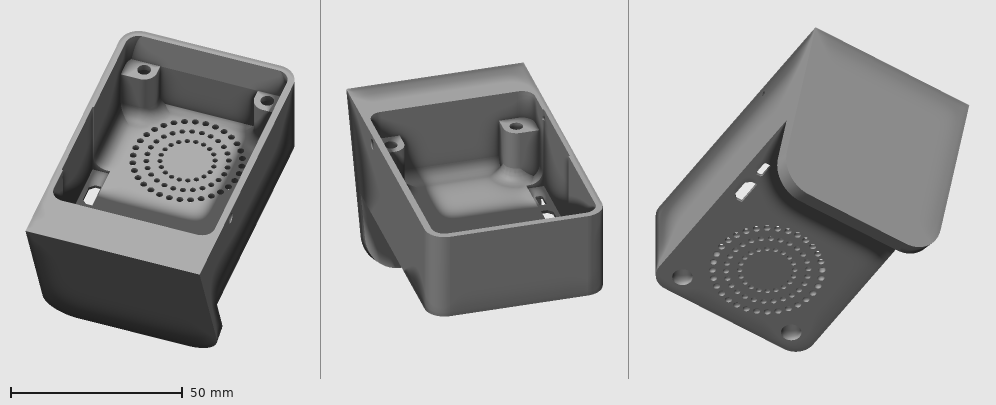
import cadquery as cq
import math


width = 53.7
length = 88.2
total_height = 50.7
box_height = 27.0
wall = 2.0
floor_thickness = 2.0
outer_corner_radius = 6.0
plate_tilt = 20.0
plate_thickness = 5.0
plate_corner_radius = 10.0

cavity_front = 15.2
cavity_back = length - wall
cavity_half_width = width / 2 - wall
cavity_corner_radius = outer_corner_radius - wall
floor_fillet = 4.0
back_wall_step = 1.5

post_spacing = 38.0
front_post_y = 19.6
back_post_y = 81.8
post_corner_radius = 4.0
post_hole_diameter = 4.0
back_counterbore_diameter = 6.0
back_post_top_thickness = 2.0
post_depth = 9.0
post_top = box_height - post_depth

grille_y = 65.8
grille_rings = [
    (16.0, 2.0, 32, 0.0),
    (12.0, 1.8, 26, 6.0),
    (8.0, 1.6, 20, 2.0),
]

recess_left = -25.2
recess_width = 5.4
recess_front = 27.1
recess_length = 27.2
recess_floor = 1.0
large_port_left = -23.8
large_port_width = 3.35
large_port_y = 44.4
large_port_length = 8.0
large_port_chamfer = 1.4
small_port_left = -23.2
small_port_width = 2.2
small_port_y = 34.7
small_port_length = 5.0
small_port_chamfer = 0.35

side_hole_y = 27.4
side_hole_depth = 2.9
side_hole_z = box_height - side_hole_depth
left_hole_diameter = 1.4
right_hole_diameter = 3.3
right_counterbore_diameter = 4.2
right_counterbore_depth = 1.2


def block(x_range, y_range, z_range):
    """Box spanning the given (low, high) ranges."""
    size = [high - low for low, high in (x_range, y_range, z_range)]
    corner = (x_range[0], y_range[0], z_range[0])
    return cq.Workplane("XY").box(*size, centered=False).translate(corner)


def outer_body():
    """Box with a slanted front that runs on below the floor as a rounded plate."""
    slope = math.tan(math.radians(plate_tilt))
    cosine = math.cos(math.radians(plate_tilt))
    sine = math.sin(math.radians(plate_tilt))
    tip = (total_height * slope, box_height - total_height)
    inner_tip = (tip[0] + plate_thickness * cosine, tip[1] + plate_thickness * sine)
    plate_back_at_floor = box_height * slope + plate_thickness / cosine
    profile = [
        (0, box_height),
        tip,
        inner_tip,
        (plate_back_at_floor, 0),
        (length, 0),
        (length, box_height),
    ]
    body = cq.Workplane("YZ").polyline(profile).close().extrude(width / 2, both=True)
    body = body.edges("|Z").edges(">Y").fillet(outer_corner_radius)
    plate_end_middle = (0, (tip[0] + inner_tip[0]) / 2, (tip[1] + inner_tip[1]) / 2)
    plate_end = body.faces(cq.selectors.NearestToPointSelector(plate_end_middle))
    return plate_end.edges("not |X").fillet(plate_corner_radius)


def post(side, post_y, toward_back, top):
    """Column in a cavity corner, with its one free vertical edge rounded."""
    post_x = side * post_spacing / 2
    free_x = post_x - side * post_corner_radius
    free_y = post_y - toward_back * post_corner_radius
    outside_x = side * width / 2
    outside_y = length if toward_back > 0 else cavity_front - wall
    column = block(sorted((free_x, outside_x)), sorted((free_y, outside_y)), (floor_thickness, top))
    free_edge = cq.selectors.NearestToPointSelector((free_x, free_y, (floor_thickness + top) / 2))
    return column.edges("|Z").edges(free_edge).fillet(post_corner_radius)


def post_flare(side, post_y):
    """Round skirt with a concave fillet that blends a front post into the floor."""
    foot_radius = post_corner_radius + floor_fillet
    arc_inset = floor_fillet * math.cos(math.radians(45))
    profile = (
        cq.Workplane("XZ")
        .lineTo(foot_radius, 0)
        .threePointArc(
            (foot_radius - arc_inset, floor_fillet - arc_inset),
            (post_corner_radius, floor_fillet),
        )
        .lineTo(0, floor_fillet)
        .close()
    )
    flare = profile.revolve(360, (0, 0, 0), (0, 1, 0))
    return flare.translate((side * post_spacing / 2, post_y, floor_thickness))


def cavity():
    """Hollow of the box: cut around the posts with a filleted floor, and open above them."""
    x_range = (-cavity_half_width, cavity_half_width)
    y_range = (cavity_front, cavity_back)
    lower = block(x_range, y_range, (floor_thickness, box_height))
    for side in (-1, 1):
        lower = lower.cut(post(side, back_post_y, 1, box_height))
    lower = lower.faces("<Z").edges().fillet(floor_fillet)
    for side in (-1, 1):
        lower = lower.cut(post(side, front_post_y, -1, box_height))
        lower = lower.cut(post_flare(side, front_post_y))
    upper = block(x_range, y_range, (post_top, box_height)).edges("|Z").fillet(cavity_corner_radius)
    return lower.union(upper)


def back_wall_thickening():
    """Lower back wall made thicker, tapering out to the rim above the posts."""
    profile = [
        (cavity_back, box_height),
        (cavity_back - back_wall_step, post_top),
        (cavity_back - back_wall_step, floor_thickness),
        (cavity_back, floor_thickness),
    ]
    return cq.Workplane("YZ").polyline(profile).close().extrude(cavity_half_width, both=True)


def post_holes():
    """Counterbored through holes in the back posts and blind holes in the front posts."""
    def bores(post_y, low, high, diameter):
        points = [(-post_spacing / 2, post_y), (post_spacing / 2, post_y)]
        plane = cq.Workplane("XY", origin=(0, 0, low)).pushPoints(points)
        return plane.circle(diameter / 2).extrude(high - low)

    through = bores(back_post_y, 0, post_top, post_hole_diameter)
    counterbore_top = post_top - back_post_top_thickness
    counterbores = bores(back_post_y, 0, counterbore_top, back_counterbore_diameter)
    blind = bores(front_post_y, floor_thickness, post_top, post_hole_diameter)
    return through.union(counterbores).union(blind)


def grille():
    """Rings of small holes through the floor."""
    holes = cq.Workplane("XY")
    for radius, diameter, count, first_angle in grille_rings:
        ring = (
            cq.Workplane("XY", origin=(0, grille_y, 0))
            .polarArray(radius, first_angle, 360, count)
            .circle(diameter / 2)
            .extrude(floor_thickness + floor_fillet)
        )
        holes = holes.add(ring)
    return holes.combine()


def connector_recess():
    """Slot down the left wall with two connector openings through its floor."""
    recess = block(
        (recess_left, recess_left + recess_width),
        (recess_front, recess_front + recess_length),
        (recess_floor, box_height),
    )
    large_port = block(
        (large_port_left, large_port_left + large_port_width),
        (large_port_y - large_port_length / 2, large_port_y + large_port_length / 2),
        (0, floor_thickness),
    ).edges("|Z").edges("<X").chamfer(large_port_chamfer)
    small_port = block(
        (small_port_left, small_port_left + small_port_width),
        (small_port_y - small_port_length / 2, small_port_y + small_port_length / 2),
        (0, floor_thickness),
    ).edges("|Z").chamfer(small_port_chamfer)
    return recess.union(large_port).union(small_port)


def side_holes():
    """Pinhole in the left wall and a hole counterbored from inside in the right wall."""
    def bore(start_x, depth, diameter):
        plane = cq.Workplane("YZ", origin=(start_x, side_hole_y, side_hole_z))
        return plane.circle(diameter / 2).extrude(depth)

    left = bore(-width / 2, wall, left_hole_diameter)
    right = bore(cavity_half_width, wall, right_hole_diameter)
    counterbore = bore(cavity_half_width, right_counterbore_depth, right_counterbore_diameter)
    return left.union(right).union(counterbore)


result = (
    outer_body()
    .cut(cavity())
    .union(back_wall_thickening())
    .cut(post_holes())
    .cut(grille())
    .cut(connector_recess())
    .cut(side_holes())
)